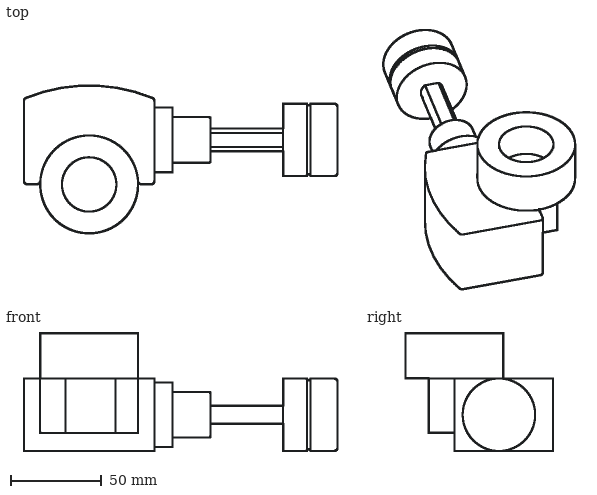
import cadquery as cq
import math

body_width = 72.0
body_height = 40.0
body_depth = 54.55
crown_radius = 92.0
corner_radius = 2.0

ring_radius = 27.0
ring_height = 25.0
bore_radius = 15.0
bore_depth = 20.0
web_bottom = 10.0

block_left = -13.0
block_right = 14.6
block_reach = 14.2

handle_y = 24.55
handle_z = body_height / 2
flange_radius = 17.9
flange_length = 10.0
barrel_radius = 12.65
barrel_length = 20.88
barrel_edge_radius = 1.0
rod_radius = 6.3
rod_flat_height = 10.0
rod_length = 40.0
knob_radius = 20.0
knob_length = 30.0
knob_edge_radius = 2.0
groove_radius = 1.0
groove_offset = 14.0

half_width = body_width / 2
flange_start = half_width
barrel_start = flange_start + flange_length
rod_start = barrel_start + barrel_length
knob_start = rod_start + rod_length
knob_end = knob_start + knob_length


def make_body():
    """Crowned prism with a half-round recess open to the front, all upright edges rounded."""
    crown_drop = crown_radius - math.sqrt(crown_radius**2 - half_width**2)
    side_depth = body_depth - crown_drop
    return (
        cq.Workplane("XY")
        .moveTo(-ring_radius, 0)
        .lineTo(-half_width, 0)
        .lineTo(-half_width, side_depth)
        .threePointArc((0, body_depth), (half_width, side_depth))
        .lineTo(half_width, 0)
        .lineTo(ring_radius, 0)
        .threePointArc((0, ring_radius), (-ring_radius, 0))
        .close()
        .extrude(body_height)
        .edges("|Z")
        .fillet(corner_radius)
    )


def make_web():
    """Half disc filling the recess, leaving it open underneath."""
    return (
        cq.Workplane("XY", origin=(0, 0, web_bottom))
        .moveTo(-ring_radius, 0)
        .threePointArc((0, ring_radius), (ring_radius, 0))
        .close()
        .extrude(body_height - web_bottom)
    )


def make_block():
    """Rectangular block standing out from the flat front of the web."""
    return (
        cq.Workplane("XY", origin=(0, 0, web_bottom))
        .moveTo(block_left, -block_reach)
        .lineTo(block_right, -block_reach)
        .lineTo(block_right, 0)
        .lineTo(block_left, 0)
        .close()
        .extrude(body_height - web_bottom)
    )


def make_ring():
    """Disc on top of the body with a blind bore from above."""
    disc = cq.Workplane("XY", origin=(0, 0, body_height)).circle(ring_radius).extrude(ring_height)
    return disc.faces(">Z").workplane().circle(bore_radius).cutBlind(-bore_depth)


def turn(profile):
    """Revolve an (x, y) profile, drawn on the -Y side of the handle axis, around that axis."""
    return profile.close().revolve(360, (0, 0), (1, 0))


def handle_profile(x):
    """Start a turned profile on the handle axis at the given x."""
    return cq.Workplane("XY", origin=(0, handle_y, handle_z)).moveTo(x, 0)


def make_barrel():
    """Flange against the body side and a barrel with a rounded outer end."""
    return turn(
        handle_profile(flange_start)
        .lineTo(flange_start, -flange_radius)
        .lineTo(barrel_start, -flange_radius)
        .lineTo(barrel_start, -barrel_radius)
        .lineTo(rod_start - barrel_edge_radius, -barrel_radius)
        .radiusArc((rod_start, barrel_edge_radius - barrel_radius), -barrel_edge_radius)
        .lineTo(rod_start, 0)
    )


def make_rod():
    """Round rod with a flat along its top and bottom."""
    round_rod = turn(
        handle_profile(rod_start)
        .lineTo(rod_start, -rod_radius)
        .lineTo(knob_start, -rod_radius)
        .lineTo(knob_start, 0)
    )
    rod_middle = (rod_start + knob_start) / 2
    flat_bar = cq.Workplane("XY", origin=(rod_middle, handle_y, handle_z)).box(
        rod_length, 2 * rod_radius, rod_flat_height
    )
    return round_rod.intersect(flat_bar)


def make_knob():
    """Cylindrical knob with a rounded outer end and a half-round groove around it."""
    groove_x = knob_start + groove_offset
    return turn(
        handle_profile(knob_start)
        .lineTo(knob_start, -knob_radius)
        .lineTo(groove_x - groove_radius, -knob_radius)
        .threePointArc(
            (groove_x, groove_radius - knob_radius),
            (groove_x + groove_radius, -knob_radius),
        )
        .lineTo(knob_end - knob_edge_radius, -knob_radius)
        .radiusArc((knob_end, knob_edge_radius - knob_radius), -knob_edge_radius)
        .lineTo(knob_end, 0)
    )


def make_handle():
    """Flange, barrel, rod and knob in line."""
    return make_barrel().union(make_rod()).union(make_knob())


lower_part = make_body().union(make_web()).union(make_block()).union(make_handle())
result = lower_part.union(make_ring(), clean=False)